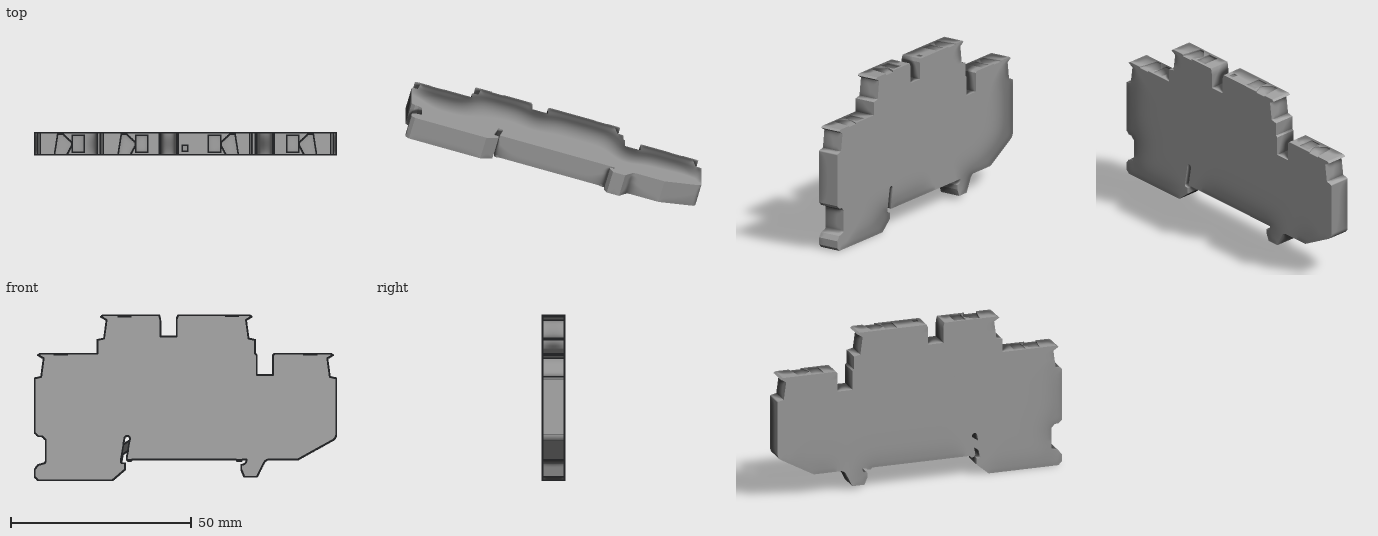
import cadquery as cq
import math

LENGTH = 83.75
THICKNESS = 6.2
HEIGHT = 45.85

LOWER_TOP = 35.2
RAIL_SEAT = 5.8
UPPER_LEFT = 17.45
UPPER_RIGHT = 61.2

LIP_INSET, NECK_TOP_INSET, NECK_FOOT_INSET, TIP_INSET = 1.55, 2.5, 1.8, 0.95
TIP_DROP, NECK_TOP_DROP, NECK_FOOT_DROP, SHELF_DROP = 0.45, 1.35, 6.45, 6.85
LOWER_SHELF_RADIUS = 0.35

NOTCH_DEPTH = 5.9
UPPER_NOTCH_LEFT, UPPER_NOTCH_RIGHT = 34.95, 39.4
UPPER_NOTCH_CHAMFER_X, UPPER_NOTCH_CHAMFER_Z = 0.4, 1.0
UPPER_NOTCH_LEAD_RADIUS = 4.5
LOWER_NOTCH_LEFT, LOWER_NOTCH_RIGHT = 61.65, 66.1
LOWER_NOTCH_CHAMFER = 0.45

SIDE_RECESS_DEPTH = 3.05
SIDE_RECESS_TOP = 12.25
SIDE_RECESS_BOTTOM = 4.9
FOOT_SLOPE_DROP = 0.85
FOOT_BOTTOM_END = 21.6
FOOT_TIP_X = 25.1
FOOT_TIP_BOTTOM, FOOT_TIP_TOP = 3.0, 4.8
SIDE_CORNER_CHAMFER = 1.0
SIDE_RECESS_FOOT_RADIUS = 0.6

SLOT_RADIUS = 0.75
SLOT_CENTRE_X, SLOT_CENTRE_Z = 25.7, 11.6
SLOT_LEAN = math.radians(9.8)
SLOT_FOOT_RADIUS = 0.6
SLOT_MOUTH_RADIUS = 0.3

HOOK_THROAT_X, HOOK_TOE_X = 58.75, 57.3
HOOK_THROAT_RADIUS = 1.2
HOOK_TOE_TOP, HOOK_TOE_BOTTOM = 4.4, 3.05
HOOK_BOTTOM = 1.0
HOOK_BOTTOM_LEFT, HOOK_BOTTOM_RIGHT = 58.15, 61.7
HOOK_ROOT_RIGHT = 64.1
HOOK_ROOT_RADIUS = 1.8

SLOPE_START_X, SLOPE_END_Z = 73.1, 11.7
SLOPE_CORNER_RADIUS = 2.0

FUNNEL_OUTLINE = [(5.5, 0), (6.4, 5.7), (7.95, 5.7), (10.3, 3.5), (10.3, 2.55), (8.95, 0)]
WINDOW_START, WINDOW_END = 10.4, 13.8
WINDOW_FRONT, WINDOW_BACK = 0.72, 5.43
SHALLOW_DEPTH, DEEP_DEPTH = 0.3, 0.5
UPPER_LEFT_DATUM, UPPER_RIGHT_DATUM = 17.65, 62.05
TEST_HOLE_X, TEST_HOLE_Y = 41.75, 1.85
TEST_HOLE_LENGTH, TEST_HOLE_WIDTH = 1.5, 1.75

BACK_LAYER = 0.45
TAB_DROP = 0.5
TAB_TAPER = 0.4
TAB_SPANS = [(25.6, 27.1), (55.9, 57.7)]
WEB_RIGHT_X = 26.6
WEB_RIGHT_BOTTOM = 8.7
WEB_LEFT_TOP = 9.2
WEB_HEIGHT = 2.6
STRIP_WIDTH = 0.35
STRIP_BOTTOM, STRIP_TOP = 5.3, 7.2


def tier_end(outer_x, top_z, inward):
    """Points from the shelf up to the lip; inward is +1 at a left end and -1 at a right end."""
    steps = [
        (0, SHELF_DROP),
        (NECK_FOOT_INSET, NECK_FOOT_DROP),
        (NECK_TOP_INSET, NECK_TOP_DROP),
        (TIP_INSET, TIP_DROP),
        (LIP_INSET, 0),
    ]
    return [(outer_x + inward * inset, top_z - drop) for inset, drop in steps]


def slot_wall_x(side, z):
    """X of a slot wall at height z; side is -1 for the left wall and +1 for the right wall."""
    axis_x = SLOT_CENTRE_X + (z - SLOT_CENTRE_Z) * math.tan(SLOT_LEAN)
    return axis_x + side * SLOT_RADIUS / math.cos(SLOT_LEAN)


def slot_end(angle):
    """Point on the round slot end, at an angle from the direction across the slot."""
    turn = angle - SLOT_LEAN
    return (SLOT_CENTRE_X + SLOT_RADIUS * math.cos(turn), SLOT_CENTRE_Z + SLOT_RADIUS * math.sin(turn))


def extrude_back(sketch, front_y, back_y):
    """Extrude an XZ outline between two Y positions."""
    return sketch.extrude(front_y - back_y).translate((0, front_y, 0))


def corner_edge(body, x, z):
    """Select the edge that runs through the thickness at (x, z)."""
    reach = 0.05
    low = (x - reach, -reach, z - reach)
    high = (x + reach, THICKNESS + reach, z + reach)
    return body.edges(cq.selectors.BoxSelector(low, high)).edges("|Y")


def make_housing():
    foot_slope_end = SIDE_RECESS_BOTTOM - FOOT_SLOPE_DROP
    upper_floor = HEIGHT - NOTCH_DEPTH
    lower_floor = LOWER_TOP - NOTCH_DEPTH
    chamfer_z = HEIGHT - UPPER_NOTCH_CHAMFER_Z
    step_z = LOWER_TOP - LOWER_NOTCH_CHAMFER
    slot_foot = (slot_wall_x(-1, FOOT_TIP_TOP), FOOT_TIP_TOP)
    slot_mouth = (slot_wall_x(1, RAIL_SEAT), RAIL_SEAT)

    left_foot = [
        (0, 0),
        (0, foot_slope_end),
        (SIDE_RECESS_DEPTH, SIDE_RECESS_BOTTOM),
        (SIDE_RECESS_DEPTH, SIDE_RECESS_TOP),
        (0, SIDE_RECESS_TOP),
    ]
    upper_notch = [
        (UPPER_NOTCH_LEFT - UPPER_NOTCH_CHAMFER_X, HEIGHT),
        (UPPER_NOTCH_LEFT, chamfer_z),
        (UPPER_NOTCH_LEFT, upper_floor),
        (UPPER_NOTCH_RIGHT, upper_floor),
        (UPPER_NOTCH_RIGHT, chamfer_z),
        (UPPER_NOTCH_RIGHT + UPPER_NOTCH_CHAMFER_X, HEIGHT),
    ]
    lower_notch = [
        (UPPER_RIGHT, LOWER_TOP),
        (LOWER_NOTCH_LEFT, step_z),
        (LOWER_NOTCH_LEFT, lower_floor),
        (LOWER_NOTCH_RIGHT, lower_floor),
        (LOWER_NOTCH_RIGHT, step_z),
        (LOWER_NOTCH_RIGHT + LOWER_NOTCH_CHAMFER, LOWER_TOP),
    ]
    right_underside = [
        (LENGTH, SLOPE_END_Z),
        (SLOPE_START_X, RAIL_SEAT),
        (HOOK_ROOT_RIGHT, RAIL_SEAT),
        (HOOK_BOTTOM_RIGHT, HOOK_BOTTOM),
        (HOOK_BOTTOM_LEFT, HOOK_BOTTOM),
        (HOOK_TOE_X, HOOK_TOE_BOTTOM),
        (HOOK_TOE_X, HOOK_TOE_TOP),
        (HOOK_THROAT_X, HOOK_TOE_TOP),
        (HOOK_THROAT_X, RAIL_SEAT),
        slot_mouth,
        slot_end(0),
    ]
    outline = (
        left_foot
        + tier_end(0, LOWER_TOP, 1)
        + [(UPPER_LEFT, LOWER_TOP)]
        + tier_end(UPPER_LEFT, HEIGHT, 1)
        + upper_notch
        + tier_end(UPPER_RIGHT, HEIGHT, -1)[::-1]
        + lower_notch
        + tier_end(LENGTH, LOWER_TOP, -1)[::-1]
        + right_underside
    )
    left_foot_end = [
        slot_foot,
        (FOOT_TIP_X, FOOT_TIP_TOP),
        (FOOT_TIP_X, FOOT_TIP_BOTTOM),
        (FOOT_BOTTOM_END, 0),
    ]
    sketch = cq.Workplane("XZ").polyline(outline)
    sketch = sketch.threePointArc(slot_end(math.pi / 2), slot_end(math.pi))
    for point in left_foot_end:
        sketch = sketch.lineTo(*point)
    housing = extrude_back(sketch.close(), 0, THICKNESS)

    chamfered_corners = [
        (0, 0),
        (0, foot_slope_end),
        (SIDE_RECESS_DEPTH, SIDE_RECESS_TOP),
        (0, SIDE_RECESS_TOP),
    ]
    for x, z in chamfered_corners:
        housing = corner_edge(housing, x, z).chamfer(SIDE_CORNER_CHAMFER)

    rounded_corners = [
        (SIDE_RECESS_DEPTH, SIDE_RECESS_BOTTOM, SIDE_RECESS_FOOT_RADIUS),
        (0, LOWER_TOP - SHELF_DROP, LOWER_SHELF_RADIUS),
        (LENGTH, LOWER_TOP - SHELF_DROP, LOWER_SHELF_RADIUS),
        (UPPER_NOTCH_LEFT, chamfer_z, UPPER_NOTCH_LEAD_RADIUS),
        (LENGTH, SLOPE_END_Z, SLOPE_CORNER_RADIUS),
        (HOOK_ROOT_RIGHT, RAIL_SEAT, HOOK_ROOT_RADIUS),
        (HOOK_THROAT_X, HOOK_TOE_TOP, HOOK_THROAT_RADIUS),
        (*slot_foot, SLOT_FOOT_RADIUS),
        (*slot_mouth, SLOT_MOUTH_RADIUS),
    ]
    for x, z, radius in rounded_corners:
        housing = corner_edge(housing, x, z).fillet(radius)
    return housing


def make_opening(datum_x, top_z, inward, depth):
    """Wire funnel, open at the front face, beside a rectangular screwdriver window."""
    funnel = [(datum_x + inward * x, y) for x, y in FUNNEL_OUTLINE]
    window = [
        (datum_x + inward * x, y)
        for x, y in [
            (WINDOW_START, WINDOW_FRONT),
            (WINDOW_END, WINDOW_FRONT),
            (WINDOW_END, WINDOW_BACK),
            (WINDOW_START, WINDOW_BACK),
        ]
    ]
    floor = cq.Workplane("XY").workplane(offset=top_z - depth)
    funnel_cut = floor.polyline(funnel).close().extrude(depth)
    window_cut = floor.polyline(window).close().extrude(depth)
    return funnel_cut.union(window_cut)


def make_test_hole():
    floor = cq.Workplane("XY").workplane(offset=HEIGHT - SHALLOW_DEPTH)
    return floor.center(TEST_HOLE_X, TEST_HOLE_Y).rect(TEST_HOLE_LENGTH, TEST_HOLE_WIDTH).extrude(SHALLOW_DEPTH)


def make_tab(left_x, right_x):
    """Tapered tab hanging below the rail seat at the back; it starts inside the housing."""
    root_z = RAIL_SEAT + TAB_DROP
    tab = cq.Workplane("XZ").polyline(
        [
            (left_x, root_z),
            (left_x, RAIL_SEAT),
            (left_x + TAB_TAPER, RAIL_SEAT - TAB_DROP),
            (right_x - TAB_TAPER, RAIL_SEAT - TAB_DROP),
            (right_x, RAIL_SEAT),
            (right_x, root_z),
        ]
    )
    return extrude_back(tab.close(), THICKNESS - BACK_LAYER, THICKNESS)


def make_slot_web():
    """Slanted web bridging the spring slot at the back; its ends lie inside the housing.

    A narrow strip continues down the left wall of the slot below the web.
    """
    wall_inside_x = slot_wall_x(-1, STRIP_BOTTOM) - STRIP_WIDTH
    web = cq.Workplane("XZ").polyline(
        [
            (wall_inside_x, STRIP_BOTTOM),
            (slot_wall_x(-1, STRIP_BOTTOM) + STRIP_WIDTH, STRIP_BOTTOM),
            (slot_wall_x(-1, STRIP_TOP) + STRIP_WIDTH, STRIP_TOP),
            (WEB_RIGHT_X, WEB_RIGHT_BOTTOM),
            (WEB_RIGHT_X, WEB_RIGHT_BOTTOM + WEB_HEIGHT),
            (wall_inside_x, WEB_LEFT_TOP),
        ]
    )
    return extrude_back(web.close(), THICKNESS - BACK_LAYER, THICKNESS)


result = make_housing()

openings = [
    (0, LOWER_TOP, 1, SHALLOW_DEPTH),
    (UPPER_LEFT_DATUM, HEIGHT, 1, DEEP_DEPTH),
    (UPPER_RIGHT_DATUM, HEIGHT, -1, SHALLOW_DEPTH),
    (LENGTH, LOWER_TOP, -1, SHALLOW_DEPTH),
]
for opening in openings:
    result = result.cut(make_opening(*opening))
result = result.cut(make_test_hole())

for tab_span in TAB_SPANS:
    result = result.union(make_tab(*tab_span))
result = result.union(make_slot_web())